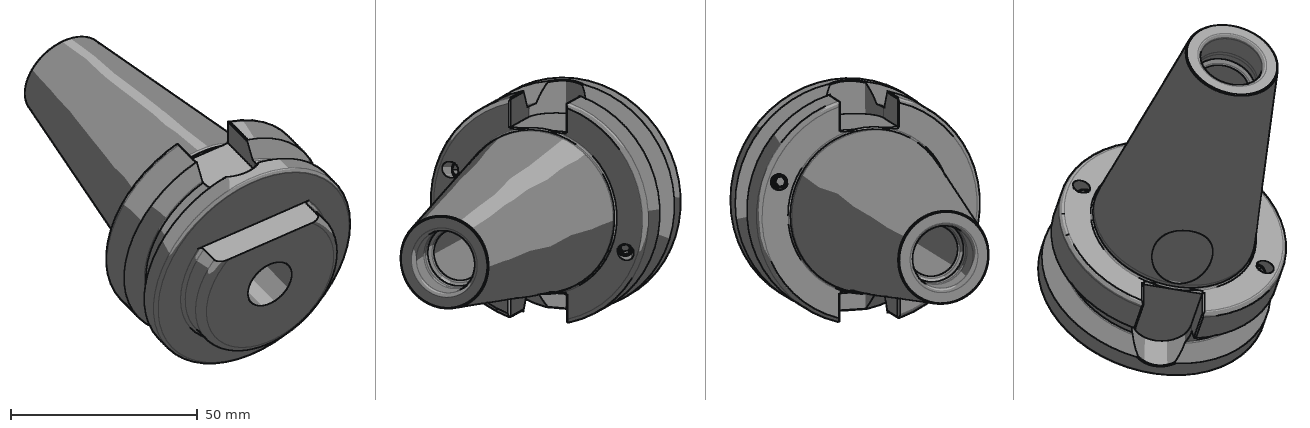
import cadquery as cq
import math

total_length = 100.4
gauge_x = 65.8
collar_front_x = 67.4
groove_start_x = 77.0
groove_end_x = 87.0
flange_back_x = 92.4

gauge_diameter = 44.6
taper_ratio = 7 / 24
taper_chamfer = 0.3
neck_fillet = 0.5

collar_diameter = 62.6
flange_diameter = 63.0
groove_diameter = 52.8
groove_wall_angle = 30.0
groove_fillet = 0.5
collar_fillet = 1.2
flange_fillet = 0.9

nose_diameter = 45.0
nose_root_fillet = 0.9
nose_end_fillet = 2.1
nose_flat_z = 15.3

counterbore_diameter = 17.0
mouth_fillet = 1.0
counterbore_depth = 6.4
thread_diameter = 16.7
thread_start_x = 7.2
thread_end_x = 9.0
step_diameter = 15.1
step_angle = 60.0
bore_diameter = 14.1

slot_width = 16.1
slot_floor_z = 22.3
slot_end_x = 88.7
slot_rim_chamfer = 0.3
upper_slot_chamfer = 0.4
lower_slot_chamfer = 0.6

relief_radius = 26.8
relief_x = 52.9
relief_top_z = -19.1

coolant_hole_diameter = 4.3
coolant_circle_radius = 26.9
coolant_angle = 20.0
coolant_tilt = 25.0
coolant_hole_depth = 8.0
screw_recess = 2.2
screw_chamfer = 0.5
socket_width = 2.5
socket_depth = 2.0


def revolve_about_x(profile):
    """Revolve a profile drawn as (x, radius) about the X axis."""
    return profile.close().revolve(360, (0, 0, 0), (1, 0, 0))


def circle_edges(body, x, diameter):
    """Select the full circular edges about the X axis at one place."""
    margin = 0.05
    reach = diameter / 2 + margin
    selector = cq.selectors.BoxSelector((x - margin, -reach, -reach), (x + margin, reach, reach), boundingbox=True)
    inner = diameter / 2 - margin
    edges = [e for e in body.edges(selector).vals() if e.geomType() == "CIRCLE" and e.radius() > inner]
    return body.newObject(edges)


def turned_blank():
    tip_diameter = gauge_diameter - gauge_x * taper_ratio
    wall_slope = math.tan(math.radians(groove_wall_angle))
    groove_bottom_start_x = groove_start_x + (collar_diameter - groove_diameter) / 2 * wall_slope
    groove_bottom_end_x = groove_end_x - (flange_diameter - groove_diameter) / 2 * wall_slope
    profile = (
        cq.Workplane("XY")
        .moveTo(0, 0)
        .lineTo(0, tip_diameter / 2)
        .lineTo(gauge_x, gauge_diameter / 2)
        .lineTo(collar_front_x, gauge_diameter / 2)
        .lineTo(collar_front_x, collar_diameter / 2)
        .lineTo(groove_start_x, collar_diameter / 2)
        .lineTo(groove_bottom_start_x, groove_diameter / 2)
        .lineTo(groove_bottom_end_x, groove_diameter / 2)
        .lineTo(groove_end_x, flange_diameter / 2)
        .lineTo(flange_back_x, flange_diameter / 2)
        .lineTo(flange_back_x, nose_diameter / 2)
        .lineTo(total_length, nose_diameter / 2)
        .lineTo(total_length, 0)
    )
    blank = revolve_about_x(profile)
    blank = circle_edges(blank, 0, tip_diameter).chamfer(taper_chamfer)
    rounded_edges = [
        (collar_front_x, gauge_diameter, neck_fillet),
        (collar_front_x, collar_diameter, collar_fillet),
        (groove_bottom_start_x, groove_diameter, groove_fillet),
        (groove_bottom_end_x, groove_diameter, groove_fillet),
        (flange_back_x, flange_diameter, flange_fillet),
        (flange_back_x, nose_diameter, nose_root_fillet),
        (total_length, nose_diameter, nose_end_fillet),
    ]
    for x, diameter, radius in rounded_edges:
        blank = circle_edges(blank, x, diameter).fillet(radius)
    return blank


def bore_cutter():
    counterbore_radius = counterbore_diameter / 2
    arc_offset = mouth_fillet * (1 - math.sqrt(0.5))
    cone_end_x = thread_end_x + (thread_diameter - step_diameter) / 2
    step_end_x = cone_end_x + (step_diameter - bore_diameter) / 2 / math.tan(math.radians(step_angle))
    profile = (
        cq.Workplane("XY")
        .moveTo(0, 0)
        .lineTo(0, counterbore_radius + mouth_fillet)
        .threePointArc((arc_offset, counterbore_radius + arc_offset), (mouth_fillet, counterbore_radius))
        .lineTo(counterbore_depth, counterbore_radius)
        .lineTo(thread_start_x, thread_diameter / 2)
        .lineTo(thread_end_x, thread_diameter / 2)
        .lineTo(cone_end_x, step_diameter / 2)
        .lineTo(step_end_x, bore_diameter / 2)
        .lineTo(total_length, bore_diameter / 2)
        .lineTo(total_length, 0)
    )
    return revolve_about_x(profile)


def nose_flat_cutter():
    length = total_length - flange_back_x
    height = nose_diameter / 2
    return cq.Workplane("XY").box(length, 2 * nose_diameter, height, centered=(False, True, False)).translate(
        (flange_back_x, 0, nose_flat_z)
    )


def slot_cutter(chamfer):
    """Round-ended slot through the collar at +Z, flared by a chamfer at the collar's front and top edges."""
    half = slot_width / 2
    top_z = flange_diameter / 2
    height = top_z - slot_floor_z
    slot = (
        cq.Workplane("XY", origin=(0, 0, slot_floor_z))
        .moveTo(collar_front_x, -half)
        .lineTo(slot_end_x - half, -half)
        .threePointArc((slot_end_x, 0), (slot_end_x - half, half))
        .lineTo(collar_front_x, half)
        .close()
        .extrude(height)
    )
    side_flare = (
        cq.Workplane("XY", origin=(0, 0, slot_floor_z))
        .moveTo(collar_front_x, -half - chamfer)
        .lineTo(collar_front_x + chamfer, -half)
        .lineTo(collar_front_x + chamfer, half)
        .lineTo(collar_front_x, half + chamfer)
        .close()
        .extrude(height)
    )
    floor_flare = (
        cq.Workplane("XZ", origin=(0, half, 0))
        .moveTo(collar_front_x, slot_floor_z)
        .lineTo(collar_front_x, slot_floor_z - chamfer)
        .lineTo(collar_front_x + chamfer, slot_floor_z)
        .close()
        .extrude(slot_width)
    )
    flare_start_z = math.sqrt((collar_diameter / 2) ** 2 - half**2) - chamfer
    flare_reach = half + top_z - flare_start_z
    top_flare = (
        cq.Workplane("YZ", origin=(collar_front_x, 0, 0))
        .moveTo(-half, flare_start_z)
        .lineTo(half, flare_start_z)
        .lineTo(flare_reach, top_z)
        .lineTo(-flare_reach, top_z)
        .close()
        .extrude(groove_start_x - collar_front_x)
    )
    return slot.union(side_flare).union(floor_flare).union(top_flare)


def chamfer_slot_rims(holder):
    """Break the edges where the round slot ends leave the flange rim."""
    half = slot_width / 2
    top_z = flange_diameter / 2
    low_z = math.sqrt(top_z**2 - half**2)
    for side in (1, -1):
        corners = sorted([side * low_z, side * (top_z + slot_rim_chamfer)])
        rim_box = cq.selectors.BoxSelector(
            (groove_end_x - 0.1, -half, corners[0]), (slot_end_x + 0.1, half, corners[1]), boundingbox=True
        )
        holder = holder.edges(rim_box).chamfer(slot_rim_chamfer)
    return holder


def relief_cutter():
    return (
        cq.Workplane("XZ", origin=(relief_x, 0, relief_top_z - relief_radius))
        .circle(relief_radius)
        .extrude(gauge_diameter / 2, both=True)
    )


def coolant_plane(depth):
    """Workplane across the +Y coolant hole, at a depth from its mouth."""
    tilt = math.radians(coolant_tilt)
    axis = cq.Vector(math.cos(tilt), -math.sin(tilt), 0)
    mouth = cq.Vector(collar_front_x, coolant_circle_radius, 0)
    return cq.Workplane(cq.Plane(mouth + axis * depth, cq.Vector(0, 0, 1), axis))


def coolant_hole():
    clearance = coolant_hole_diameter
    return coolant_plane(-clearance).circle(coolant_hole_diameter / 2).extrude(clearance + coolant_hole_depth)


def make_screw():
    screw_length = coolant_hole_depth - screw_recess
    screw = coolant_plane(screw_recess).circle(coolant_hole_diameter / 2).extrude(screw_length)
    screw = screw.faces("<X").edges().chamfer(screw_chamfer)
    across_corners = socket_width / math.cos(math.pi / 6)
    return screw.cut(coolant_plane(screw_recess).polygon(6, across_corners).extrude(socket_depth))


def half_turn_pair(body):
    """Two copies of a +Y coolant body, turned to their places on opposite sides of the axis."""
    return [body.rotate((0, 0, 0), (1, 0, 0), coolant_angle + turn) for turn in (0, 180)]


def make_holder():
    holder = turned_blank().cut(bore_cutter()).cut(nose_flat_cutter())
    holder = holder.cut(slot_cutter(upper_slot_chamfer))
    holder = holder.cut(slot_cutter(lower_slot_chamfer).rotate((0, 0, 0), (1, 0, 0), 180))
    holder = chamfer_slot_rims(holder)
    relief = relief_cutter().intersect(cq.Workplane("XY").box(collar_front_x, 99.4, 99.4, centered=(False, True, True)))
    holder = holder.cut(relief)
    for hole in half_turn_pair(coolant_hole()):
        holder = holder.cut(hole)
    return holder


holder = make_holder()
screws = half_turn_pair(make_screw())
result = cq.Compound.makeCompound([holder.val(), *[s.val() for s in screws]])